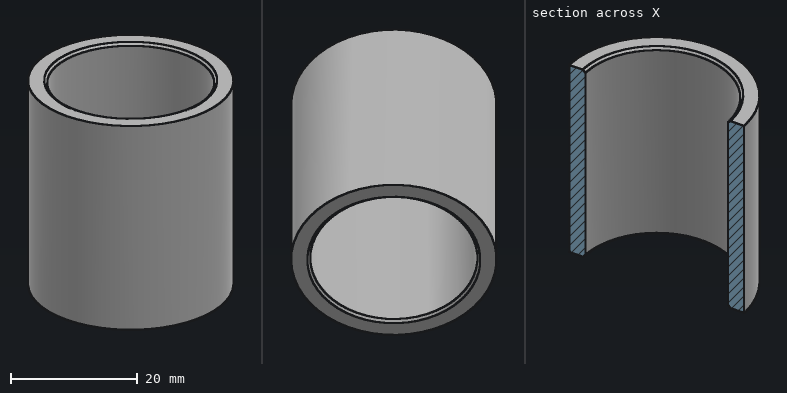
import cadquery as cq

length = 36.0
outer_diameter = 32.5
bore_diameter = 26.42
bore_chamfer = 0.45

sleeve = (
    cq.Workplane("XY")
    .circle(outer_diameter / 2)
    .circle(bore_diameter / 2)
    .extrude(length)
)

bore_rims = sleeve.edges("%CIRCLE").edges(cq.selectors.RadiusNthSelector(0))
result = bore_rims.chamfer(bore_chamfer)